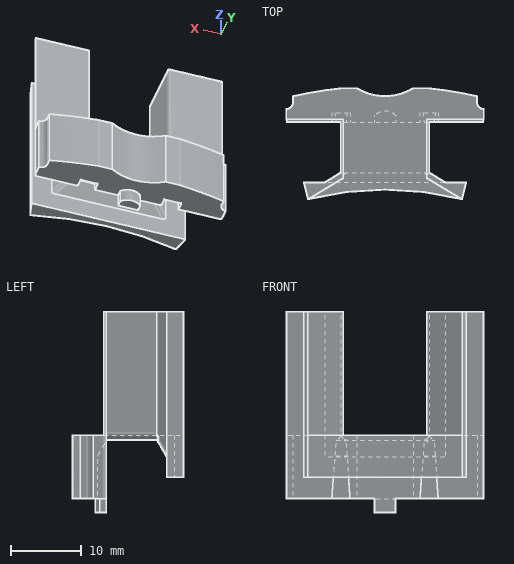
import cadquery as cq
import math

TOP_Z = 26.5
WEB_TOP_Z = 9.0
WEB_UNDER_Z = 8.3
FRONT_BLOCK_BOTTOM_Z = 3.0
TAB_HEIGHT = 2.0

SHEET = 0.4
PLATE_HALF_WIDTH = 14.0
PLATE_FRONT_Y = 10.95
PLATE_REAR_Y = PLATE_FRONT_Y + SHEET
WALL_INNER_X = 5.9
WALL_OUTER_X = WALL_INNER_X + SHEET
EAR_REAR_Y = 2.4
EAR_TIP_X = 10.92
FOLD_OUTER_Y = 3.78
FOLD_INNER_Y = 3.0
FLANGE_END_X = 8.55
CHANNEL_EDGE_RADIUS = 0.2
BEND_RADIUS = 1.0
RIB_SLOPE = math.tan(math.radians(60))

FRONT_RADIUS = 44.8
ARC_CENTRE_Y = -math.sqrt(FRONT_RADIUS**2 - EAR_TIP_X**2)
REAR_RADIUS = 59.52
REAR_FLAT_Y = 15.76
GROOVE_RADIUS = 0.95
GROOVE_CENTRE_Y = 13.75
NOTCH_HALF_WIDTH = 4.0
NOTCH_DEPTH = 1.13

SLOT_X = 6.25
SLOT_BOTTOM_HALF_WIDTH = 1.29
SLOT_TAPER = 0.07
SLOT_DEPTH = 1.3

TAB_HALF_WIDTH = 1.5
TAB_SIDE_LENGTH = 0.93
TAB_LENGTH = 1.6

CLEARANCE = 5.0


def circle_y(radius, x):
    """Y on a circle about the shared arc centre, on the +Y side."""
    return ARC_CENTRE_Y + math.sqrt(radius**2 - x**2)


def radial_x(x, y, new_y):
    """X where the line from the arc centre through (x, y) reaches new_y."""
    return x * (new_y - ARC_CENTRE_Y) / (y - ARC_CENTRE_Y)


def flip(point):
    """Mirror a plan point about X = 0."""
    return (-point[0], point[1])


def plan_body():
    """Full-height extrusion of the H-shaped plan outline."""
    ear_rear_x = radial_x(EAR_TIP_X, 0, EAR_REAR_Y)
    wing_front_x = radial_x(PLATE_HALF_WIDTH, PLATE_REAR_Y, PLATE_FRONT_Y)
    shoulder_x = PLATE_HALF_WIDTH - GROOVE_RADIUS
    groove_mid = GROOVE_RADIUS * math.sqrt(0.5)
    flat_end_x = math.sqrt(REAR_RADIUS**2 - (REAR_FLAT_Y - ARC_CENTRE_Y) ** 2)
    rear_mid_x = (shoulder_x + flat_end_x) / 2

    corners = [
        (EAR_TIP_X, 0),
        (ear_rear_x, EAR_REAR_Y),
        (FLANGE_END_X, EAR_REAR_Y),
        (WALL_OUTER_X, FOLD_OUTER_Y),
        (WALL_OUTER_X, PLATE_FRONT_Y),
        (wing_front_x, PLATE_FRONT_Y),
        (PLATE_HALF_WIDTH, PLATE_REAR_Y),
        (PLATE_HALF_WIDTH, GROOVE_CENTRE_Y - GROOVE_RADIUS),
    ]
    groove = (PLATE_HALF_WIDTH - groove_mid, GROOVE_CENTRE_Y - groove_mid)
    groove_end = (shoulder_x, GROOVE_CENTRE_Y)
    shoulder = (shoulder_x, circle_y(REAR_RADIUS, shoulder_x))
    rear_mid = (rear_mid_x, circle_y(REAR_RADIUS, rear_mid_x))
    flat_end = (flat_end_x, REAR_FLAT_Y)
    notch = (NOTCH_HALF_WIDTH, REAR_FLAT_Y)

    outline = (
        cq.Workplane("XY")
        .polyline(corners)
        .threePointArc(groove, groove_end)
        .lineTo(*shoulder)
        .threePointArc(rear_mid, flat_end)
        .lineTo(*notch)
        .threePointArc((0, REAR_FLAT_Y - NOTCH_DEPTH), flip(notch))
        .lineTo(*flip(flat_end))
        .threePointArc(flip(rear_mid), flip(shoulder))
        .lineTo(*flip(groove_end))
        .threePointArc(flip(groove), flip(corners[-1]))
    )
    for corner in reversed(corners[:-1]):
        outline = outline.lineTo(*flip(corner))
    return (
        outline.threePointArc((0, circle_y(FRONT_RADIUS, 0)), corners[0])
        .close()
        .extrude(TOP_Z)
    )


def underside_cut():
    """Space below the web: open in X, with a sloped rib behind the front block."""
    slope_bottom_z = WEB_UNDER_Z - (FOLD_OUTER_Y - EAR_REAR_Y) * RIB_SLOPE
    profile = [
        (PLATE_FRONT_Y, -CLEARANCE),
        (PLATE_FRONT_Y, WEB_UNDER_Z),
        (FOLD_OUTER_Y, WEB_UNDER_Z),
        (EAR_REAR_Y, slope_bottom_z),
        (EAR_REAR_Y, FRONT_BLOCK_BOTTOM_Z),
        (-CLEARANCE, FRONT_BLOCK_BOTTOM_Z),
        (-CLEARANCE, -CLEARANCE),
    ]
    return cq.Workplane("YZ").polyline(profile).close().extrude(PLATE_HALF_WIDTH, both=True)


def upper_cut():
    """Space above the web: behind the wings, and between the walls out to the ear tips."""
    half = [(WALL_INNER_X, PLATE_REAR_Y), (WALL_INNER_X, FOLD_INNER_Y), (EAR_TIP_X, 0)]
    front = [(EAR_TIP_X, -CLEARANCE), (-EAR_TIP_X, -CLEARANCE)]
    other_half = [flip(point) for point in reversed(half)]
    channel = (
        cq.Workplane("XY", origin=(0, 0, WEB_TOP_Z))
        .polyline(half + front + other_half)
        .close()
        .extrude(TOP_Z)
    )
    rear_space = (
        cq.Workplane("XY", origin=(0, PLATE_REAR_Y + CLEARANCE, WEB_TOP_Z))
        .rect(4 * PLATE_HALF_WIDTH, 2 * CLEARANCE)
        .extrude(TOP_Z)
    )
    wall_edges = cq.selectors.BoxSelector(
        (-WALL_OUTER_X, FOLD_INNER_Y - SHEET, WEB_TOP_Z),
        (WALL_OUTER_X, PLATE_REAR_Y + SHEET, WEB_TOP_Z + TOP_Z),
    )
    return channel.union(rear_space).edges("|Z").edges(wall_edges).fillet(CHANNEL_EDGE_RADIUS)


def slot(centre_x):
    """Tapered slot with a ceiling that drops steeply towards the rear."""
    top_half_width = SLOT_BOTTOM_HALF_WIDTH - SLOT_TAPER * WEB_UNDER_Z
    taper = (
        cq.Workplane("XZ", origin=(centre_x, PLATE_FRONT_Y, 0))
        .polyline(
            [
                (-SLOT_BOTTOM_HALF_WIDTH, 0),
                (SLOT_BOTTOM_HALF_WIDTH, 0),
                (top_half_width, WEB_UNDER_Z),
                (-top_half_width, WEB_UNDER_Z),
            ]
        )
        .close()
        .extrude(-SLOT_DEPTH)
    )
    side = (
        cq.Workplane("YZ", origin=(0, PLATE_FRONT_Y, 0))
        .polyline(
            [
                (0, 0),
                (0, WEB_UNDER_Z),
                (SLOT_DEPTH, WEB_UNDER_Z - SLOT_DEPTH * RIB_SLOPE),
                (SLOT_DEPTH, 0),
            ]
        )
        .close()
        .extrude(PLATE_HALF_WIDTH, both=True)
    )
    return taper.intersect(side)


def tab():
    """Tab with a rounded rear, flush with the front of the rear plate."""
    return (
        cq.Workplane("XY", origin=(0, PLATE_FRONT_Y, -TAB_HEIGHT))
        .moveTo(-TAB_HALF_WIDTH, 0)
        .lineTo(TAB_HALF_WIDTH, 0)
        .lineTo(TAB_HALF_WIDTH, TAB_SIDE_LENGTH)
        .threePointArc((0, TAB_LENGTH), (-TAB_HALF_WIDTH, TAB_SIDE_LENGTH))
        .close()
        .extrude(TAB_HEIGHT)
    )


def rounded_bends(solid):
    """Round the lower outer edges of the walls and of the flanges beside the rib."""
    wall_mid_y = (PLATE_FRONT_Y + FOLD_OUTER_Y) / 2
    rib_mid_x = (WALL_OUTER_X + FLANGE_END_X) / 2
    rib_mid_y = (FOLD_OUTER_Y + EAR_REAR_Y) / 2
    rib_mid_z = WEB_UNDER_Z - (FOLD_OUTER_Y - rib_mid_y) * RIB_SLOPE
    for side in (-1, 1):
        wall_edge = cq.selectors.NearestToPointSelector((side * WALL_OUTER_X, wall_mid_y, WEB_UNDER_Z))
        rib_edge = cq.selectors.NearestToPointSelector((side * rib_mid_x, rib_mid_y, rib_mid_z))
        solid = solid.edges(cq.selectors.SumSelector(wall_edge, rib_edge)).fillet(BEND_RADIUS)
    return solid


body = rounded_bends(plan_body().cut(underside_cut()))
for slot_x in (-SLOT_X, SLOT_X):
    body = body.cut(slot(slot_x))
result = body.cut(upper_cut()).union(tab())